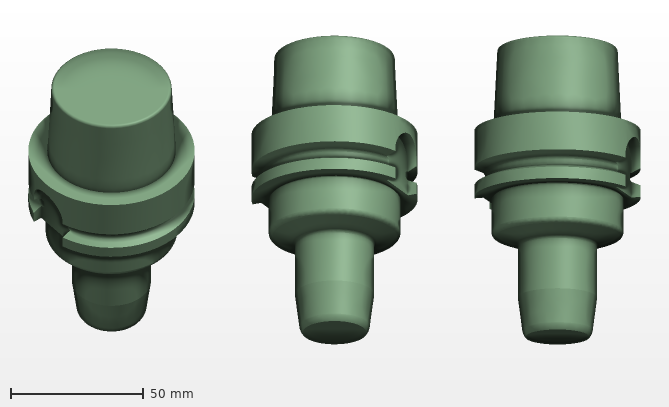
import cadquery as cq
import math

TOTAL_HEIGHT = 112.0
FLANGE_TOP = 80.1
FLANGE_BOTTOM = 54.2
SHOULDER_CORNER_Z = 39.3
NOSE_TAPER_TOP = 15.3

SHANK_TOP_RADIUS = 22.7
SHANK_BASE_RADIUS = 24.3
SHANK_EDGE_FILLET = 1.1

FLANGE_DIAMETER = 63.0
FLANGE_RADIUS = FLANGE_DIAMETER / 2
GROOVE_FLOOR_RADIUS = 27.4
GROOVE_CENTER_Z = 62.0
GROOVE_MOUTH_WIDTH = 6.7
GROOVE_WALL_ANGLE = 25.0
GROOVE_FLOOR_FILLET = 1.0

BODY_DIAMETER = 50.0
BODY_RADIUS = BODY_DIAMETER / 2
BODY_TOP_CHAMFER = 0.7
SHOULDER_ANGLE = 20.0
SHOULDER_FILLET = 2.1

NECK_DIAMETER = 30.0
NECK_RADIUS = NECK_DIAMETER / 2
NECK_FILLET = 1.1
NOSE_TAPER_BOTTOM = 2.6
NOSE_TAPER_BOTTOM_RADIUS = 13.3
NOSE_END_RADIUS = 12.1

SLOT_WIDTH = 17.9
SLOT_TOP = 75.2
SLOT_FLOOR_Y = 26.5


def revolve_profile(points):
    return cq.Workplane("XZ").polyline(points).close().revolve(360, (0, 0, 0), (0, 1, 0))


def circle_edges_at(solid, radius, height):
    """Pick the circular edge of the given radius around Z at the given height."""
    margin = 0.06
    outer = radius + margin
    box = cq.selectors.BoxSelector(
        (-outer, -outer, height - margin), (outer, outer, height + margin), boundingbox=True
    )
    return solid.edges(box).edges(cq.selectors.RadiusNthSelector(-1))


def make_shank():
    points = [
        (0, FLANGE_BOTTOM),
        (SHANK_BASE_RADIUS, FLANGE_BOTTOM),
        (SHANK_BASE_RADIUS, FLANGE_TOP),
        (SHANK_TOP_RADIUS, TOTAL_HEIGHT),
        (0, TOTAL_HEIGHT),
    ]
    return revolve_profile(points).faces(">Z").edges().fillet(SHANK_EDGE_FILLET)


def make_flange():
    wall_rise = (FLANGE_RADIUS - GROOVE_FLOOR_RADIUS) * math.tan(math.radians(GROOVE_WALL_ANGLE))
    half_mouth = GROOVE_MOUTH_WIDTH / 2
    half_floor = half_mouth - wall_rise
    points = [
        (0, FLANGE_BOTTOM),
        (FLANGE_RADIUS, FLANGE_BOTTOM),
        (FLANGE_RADIUS, GROOVE_CENTER_Z - half_mouth),
        (GROOVE_FLOOR_RADIUS, GROOVE_CENTER_Z - half_floor),
        (GROOVE_FLOOR_RADIUS, GROOVE_CENTER_Z + half_floor),
        (FLANGE_RADIUS, GROOVE_CENTER_Z + half_mouth),
        (FLANGE_RADIUS, FLANGE_TOP),
        (0, FLANGE_TOP),
    ]
    flange = revolve_profile(points)
    for floor_edge_z in (GROOVE_CENTER_Z - half_floor, GROOVE_CENTER_Z + half_floor):
        flange = circle_edges_at(flange, GROOVE_FLOOR_RADIUS, floor_edge_z).fillet(GROOVE_FLOOR_FILLET)
    return flange


def nose_arc_middle():
    """Middle point of the arc that joins the nose taper tangentially to the flat end."""
    radius_change = NOSE_TAPER_BOTTOM_RADIUS - NOSE_END_RADIUS
    chord = math.hypot(radius_change, NOSE_TAPER_BOTTOM)
    chord_angle = math.atan2(radius_change, NOSE_TAPER_BOTTOM)
    taper_angle = math.atan2(
        NECK_RADIUS - NOSE_TAPER_BOTTOM_RADIUS, NOSE_TAPER_TOP - NOSE_TAPER_BOTTOM
    )
    bulge = chord / 2 * math.tan((chord_angle - taper_angle) / 2)
    return (
        (NOSE_TAPER_BOTTOM_RADIUS + NOSE_END_RADIUS) / 2 + bulge * math.cos(chord_angle),
        NOSE_TAPER_BOTTOM / 2 - bulge * math.sin(chord_angle),
    )


def make_lower_body():
    shoulder_drop = (BODY_RADIUS - NECK_RADIUS) * math.tan(math.radians(SHOULDER_ANGLE))
    shoulder_base_z = SHOULDER_CORNER_Z - shoulder_drop
    outline_points = [
        (NECK_RADIUS, shoulder_base_z),
        (BODY_RADIUS, SHOULDER_CORNER_Z),
        (BODY_RADIUS, FLANGE_BOTTOM - BODY_TOP_CHAMFER),
        (BODY_RADIUS - BODY_TOP_CHAMFER, FLANGE_BOTTOM),
        (0, FLANGE_BOTTOM),
        (0, 0),
        (NOSE_END_RADIUS, 0),
    ]
    body = (
        cq.Workplane("XZ")
        .moveTo(NECK_RADIUS, NOSE_TAPER_TOP)
        .polyline(outline_points, includeCurrent=True)
        .threePointArc(nose_arc_middle(), (NOSE_TAPER_BOTTOM_RADIUS, NOSE_TAPER_BOTTOM))
        .close()
        .revolve(360, (0, 0, 0), (0, 1, 0))
    )
    body = circle_edges_at(body, BODY_RADIUS, SHOULDER_CORNER_Z).fillet(SHOULDER_FILLET)
    return circle_edges_at(body, NECK_RADIUS, shoulder_base_z).fillet(NECK_FILLET)


def make_drive_slot():
    """Cutter for the slot on the +Y side, open at the bottom of the flange."""
    half_width = SLOT_WIDTH / 2
    arc_center_z = SLOT_TOP - half_width
    return (
        cq.Workplane("XZ", origin=(0, SLOT_FLOOR_Y, 0))
        .moveTo(-half_width, FLANGE_BOTTOM)
        .lineTo(half_width, FLANGE_BOTTOM)
        .lineTo(half_width, arc_center_z)
        .threePointArc((0, SLOT_TOP), (-half_width, arc_center_z))
        .close()
        .extrude(-FLANGE_RADIUS)
    )


drive_slot = make_drive_slot()
drive_slots = drive_slot.union(drive_slot.mirror("XZ"))
flange = make_flange().cut(drive_slots)

result = make_lower_body().union(flange).union(make_shank())